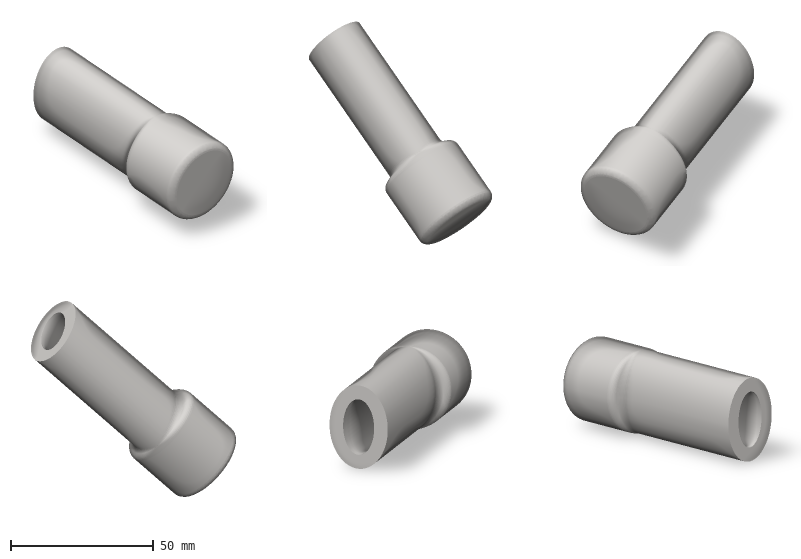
import cadquery as cq
import math

length = 78.75
head_diameter = 30.5
grip_width = 21.7
bore_width = 11.6
bore_height = 20.3
shoulder_x = 53.15
round_radius = 2.5

points_per_section = 48
half_steps = 8

head_radius = head_diameter / 2
grip_half_width = grip_width / 2
bore_depth = shoulder_x - round_radius


def grip_radius(angle):
    """Distance from the axis to the grip ellipse."""
    return grip_half_width * head_radius / math.hypot(
        head_radius * math.cos(angle), grip_half_width * math.sin(angle)
    )


def outer_radius(angle, offset):
    """Concave arc then convex arc, tangent to grip and head; the step vanishes at the Z tips."""
    inner = grip_radius(angle)
    half_step = (head_radius - inner) / 2
    reach = math.sqrt(max(0.0, round_radius**2 - (round_radius - half_step) ** 2))
    if abs(offset) >= reach:
        return inner if offset < 0 else head_radius
    along = reach - abs(offset)
    rise = round_radius - math.sqrt(round_radius**2 - along**2)
    return inner + rise if offset < 0 else head_radius - rise


def cross_section(offset):
    """Closed smooth outline across the part, placed by its X offset from the shoulder."""
    points = []
    for index in range(points_per_section):
        angle = 2 * math.pi * index / points_per_section
        radius = outer_radius(angle, offset)
        points.append(cq.Vector(
            shoulder_x + offset, radius * math.cos(angle), radius * math.sin(angle)
        ))
    return cq.Wire.assembleEdges([cq.Edge.makeSpline(points, periodic=True)])


def body():
    """Grip, shoulder and head as one loft, with sections crowded at the steep middle of the step."""
    sections = [cross_section(-shoulder_x)]
    for step in range(-half_steps, half_steps + 1):
        fraction = step / half_steps
        sections.append(cross_section(round_radius * fraction * abs(fraction)))
    sections.append(cross_section(length - shoulder_x))
    return cq.Workplane(cq.Solid.makeLoft(sections, ruled=True))


def bore():
    """Blind elliptical hole entering the grip end."""
    return cq.Workplane("YZ").ellipse(bore_width / 2, bore_height / 2).extrude(bore_depth)


rounded_body = body().faces(">X").edges().fillet(round_radius)
result = rounded_body.cut(bore())